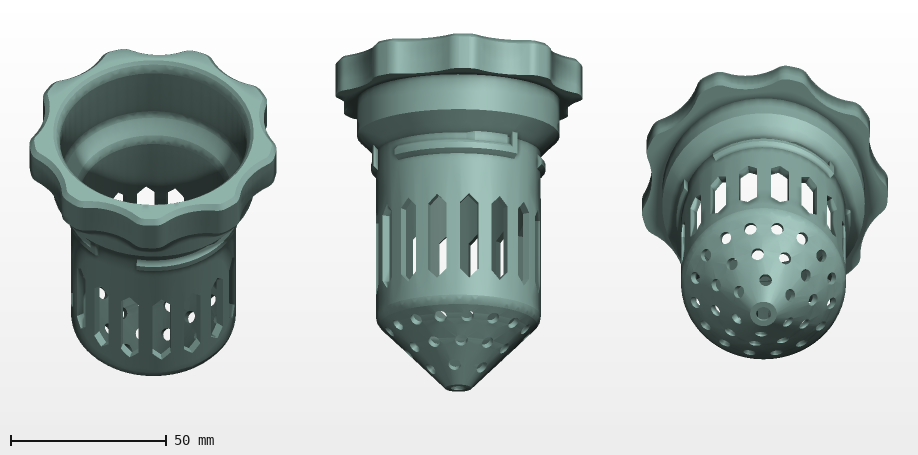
import math

import cadquery as cq

total_height = 107.63
rim_height = 12.0
neck_bottom = 84.0

neck_radius = 32.55
body_radius = 26.5
tip_radius = 4.3
tip_hole_radius = 2.4
wall = 2.5
nose_wall = 2.0
mouth_radius = 32.2

nose_fillet = 4.0
cavity_nose_fillet = nose_fillet - wall
cavity_throat_fillet = 4.0
cavity_neck_fillet = 3.0
cavity_mouth_fillet = 4.0

shoulder_bottom = neck_bottom - (neck_radius - body_radius)
nose_top = body_radius - tip_radius

rim_radius = 40.0
lobe_count = 9
scallop_radius = 20.0
scallop_distance = 56.0
first_scallop_angle = -90.0
lobe_fillet = 5.0
rim_chamfer = 1.5

slot_count = 16
slot_width = 6.0
slot_bottom = 29.7
slot_height = 28.0

holes_per_row = (16, 11, 6)
nose_hole_radius = 2.0
top_row_height = 18.0
row_spacing_on_slope = 9.0

rib_count = 3
rib_start = 200.5
rib_end = 290.0
rib_radius = 28.0
rib_bottom = 71.0
rib_height = 4.9
stop_start = 285.8
catch_radius = 27.0
catch_ramp_start = 253.0
catch_start = 258.7
catch_end = 283.2


def polar(radius, angle):
    """Point at a radius and an angle in degrees."""
    return (radius * math.cos(math.radians(angle)), radius * math.sin(math.radians(angle)))


def around_z(shape, count):
    """Evenly spaced copies of a shape around the Z axis."""
    return [shape.rotate((0, 0, 0), (0, 0, 1), index * 360 / count) for index in range(count)]


def revolved(profile, start=0, end=360):
    """A closed (radius, height) outline turned about Z between two angles."""
    turned = cq.Workplane("XZ").polyline(profile).close().revolve(end - start, (0, 0), (0, 1))
    return turned.rotate((0, 0, 0), (0, 0, 1), start)


def fillet_ring(solid, height, radius):
    """Round the circular edge that is centred on the axis at the given height."""
    ring = cq.selectors.NearestToPointSelector((0, 0, height))
    return solid.edges(ring).fillet(radius)


def make_body():
    """Solid outside shape of the nose, body, shoulder and neck."""
    neck_top = total_height - rim_height / 2
    body = revolved([
        (0, 0),
        (tip_radius, 0),
        (body_radius, nose_top),
        (body_radius, shoulder_bottom),
        (neck_radius, neck_bottom),
        (neck_radius, neck_top),
        (0, neck_top),
    ])
    return fillet_ring(body, nose_top, nose_fillet)


def make_rim():
    """Grip disc with scallops, rounded lobes and a chamfered top edge."""
    rim = cq.Workplane("XY").circle(rim_radius).extrude(rim_height)
    scallop_center = polar(scallop_distance, first_scallop_angle)
    scallop = cq.Workplane("XY").center(*scallop_center).circle(scallop_radius).extrude(rim_height)
    for bite in around_z(scallop, lobe_count):
        rim = rim.cut(bite)
    rim = rim.edges("|Z").fillet(lobe_fillet)
    rim = rim.faces(">Z").edges().chamfer(rim_chamfer)
    return rim.translate((0, 0, total_height - rim_height))


def make_cavity():
    """Inside of the shell, open at the mouth and at the tip hole."""
    neck_inside = neck_radius - wall
    body_inside = body_radius - wall
    corner_rise = wall * math.tan(math.radians(22.5))
    neck_corner = neck_bottom + corner_rise
    throat_corner = neck_corner - (neck_inside - body_inside)
    apex = nose_wall * math.sqrt(2) - tip_radius
    nose_corner = apex + body_inside
    mouth_corner = total_height - (mouth_radius - neck_inside)
    cavity = revolved([
        (0, apex),
        (body_inside, nose_corner),
        (body_inside, throat_corner),
        (neck_inside, neck_corner),
        (neck_inside, mouth_corner),
        (mouth_radius, total_height),
        (0, total_height),
    ])
    cavity = fillet_ring(cavity, nose_corner, cavity_nose_fillet)
    cavity = fillet_ring(cavity, throat_corner, cavity_throat_fillet)
    cavity = fillet_ring(cavity, neck_corner, cavity_neck_fillet)
    cavity = fillet_ring(cavity, mouth_corner, cavity_mouth_fillet)
    tip_hole = cq.Workplane("XY").circle(tip_hole_radius).extrude(nose_corner)
    return cavity.union(tip_hole)


def make_slots():
    """Cutters from the axis outward, one per slot."""
    half = slot_width / 2
    slot_top = slot_bottom + slot_height
    slot = (
        cq.Workplane("YZ")
        .moveTo(0, slot_bottom)
        .lineTo(half, slot_bottom + half)
        .lineTo(half, slot_top - half)
        .lineTo(0, slot_top)
        .lineTo(-half, slot_top - half)
        .lineTo(-half, slot_bottom + half)
        .close()
        .extrude(body_radius + wall)
    )
    return around_z(slot, slot_count)


def make_nose_holes():
    """Drills for every row of drain holes."""
    inward = cq.Vector(-1, 0, 1).normalized()
    row_drop = row_spacing_on_slope / math.sqrt(2)
    drills = []
    for row, count in enumerate(holes_per_row):
        height = top_row_height - row * row_drop
        on_surface = cq.Vector(tip_radius + height, 0, height)
        drill_start = on_surface - inward * nose_wall
        drill = cq.Solid.makeCylinder(nose_hole_radius, 3 * nose_wall, drill_start, inward)
        drills += around_z(cq.Workplane(drill), count)
    return drills


def make_bayonet_rib():
    """One rib with its stop and catch, rooted inside the body wall."""
    root = body_radius - wall / 2
    flank = rib_radius - body_radius
    rib_top = rib_bottom + rib_height
    crest_bottom = rib_bottom + flank
    crest_top = rib_top - flank
    rib = revolved([
        (root, rib_bottom),
        (body_radius, rib_bottom),
        (rib_radius, crest_bottom),
        (rib_radius, crest_top),
        (body_radius, rib_top),
        (root, rib_top),
    ], rib_start, rib_end)

    stop_top = shoulder_bottom + flank
    stop = revolved([
        (root, crest_bottom),
        (rib_radius, crest_bottom),
        (rib_radius, stop_top),
        (root, stop_top),
    ], stop_start, rib_end)

    catch_top = shoulder_bottom + catch_radius - body_radius
    catch_middle = (catch_start + catch_end) / 2
    catch = (
        cq.Workplane("XY", origin=(0, 0, crest_bottom))
        .moveTo(*polar(root, catch_ramp_start))
        .lineTo(*polar(body_radius, catch_ramp_start))
        .lineTo(*polar(catch_radius, catch_start))
        .threePointArc(polar(catch_radius, catch_middle), polar(catch_radius, catch_end))
        .lineTo(*polar(root, catch_end))
        .threePointArc(polar(root, catch_middle), polar(root, catch_ramp_start))
        .close()
        .extrude(catch_top - crest_bottom)
    )
    return rib.union(stop).union(catch)


blank = make_body().union(make_rim())
for bayonet_rib in around_z(make_bayonet_rib(), rib_count):
    blank = blank.union(bayonet_rib)
cutters = [make_cavity()] + make_slots() + make_nose_holes()
strainer = blank.val().cut(*[cutter.val() for cutter in cutters])
result = cq.Workplane(strainer.Solids()[0])